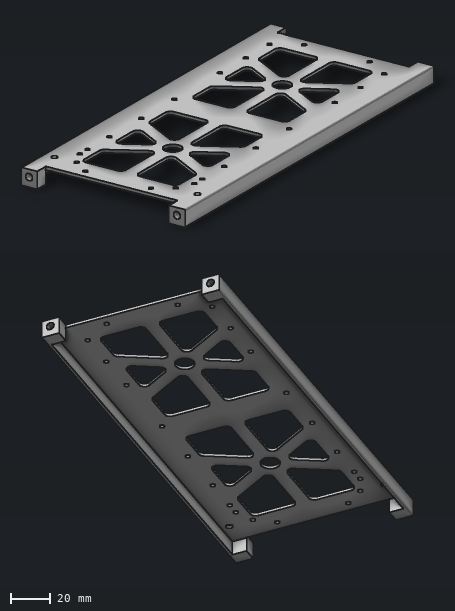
import cadquery as cq
import math

length = 227.0
width = 100.0
height = 10.0

plate_thickness = 2.0
wall_thickness = plate_thickness
outer_edge_radius = 0.5

block_width = 10.0
block_length = 8.0
block_x = (width - block_width) / 2
plate_length = length - 2 * block_length

block_hole_diameter = 4.0
block_hole_drop = 4.3
block_hole_depth = 6.0

under_hole_diameter = 3.5
under_hole_x = 43.5
under_hole_y = -92.6
under_hole_roof = 0.2

hub_offset = 50.0
hub_diameter = 10.0
spoke_width = 8.0
spoke_angle = math.radians(30)
opening_half_width = 29.0
opening_half_height = 40.0
opening_radius = 3.0

screw_diameter = 2.5
end_screw_x = 20.0
end_screw_y = 99.7
corner_screw_x = 30.2
corner_screw_y = -92.5
row_screw_x = 35.0
row_screw_y = [90.5, 69.0, 45.5, 3.9, -26.3, -55.5, -75.4, -82.5]


def top_block(size_x, size_y, size_z):
    """Block centred on the Z axis with its top face on Z = 0."""
    return cq.Workplane("XY").rect(size_x, size_y).extrude(-size_z)


def make_frame():
    """Plate, side walls and corner blocks, with the outer long edges rounded."""
    frame = top_block(width, plate_length, plate_thickness)
    wall = top_block(wall_thickness, length, height)
    block = top_block(block_width, block_length, height)
    wall_x = (width - wall_thickness) / 2
    block_y = (length - block_length) / 2
    for side in (-1, 1):
        frame = frame.union(wall.translate((side * wall_x, 0, 0)))
        for end in (-1, 1):
            frame = frame.union(block.translate((side * block_x, end * block_y, 0)))
    return frame.clean().faces("<X or >X").edges("|Y").fillet(outer_edge_radius)


def make_opening(points):
    """Cutter through the plate with rounded corners."""
    cutter = cq.Workplane("XY").polyline(points).close().extrude(-plate_thickness)
    return cutter.edges("|Z").fillet(opening_radius)


def spoke_edge_y(x, side):
    """Y of the upper (side = 1) or lower (side = -1) edge of the slanted spoke at x."""
    return x * math.tan(spoke_angle) + side * spoke_width / 2 / math.cos(spoke_angle)


def make_hub_cutter():
    """Hub hole, four corner openings and two side openings around the origin."""
    inner = spoke_width / 2
    outer = opening_half_width
    corner_opening = make_opening([
        (inner, opening_half_height),
        (outer, opening_half_height),
        (outer, spoke_edge_y(outer, 1)),
        (inner, spoke_edge_y(inner, 1)),
    ])
    side_opening = make_opening([
        (inner / math.sin(spoke_angle), 0),
        (outer, spoke_edge_y(outer, -1)),
        (outer, -spoke_edge_y(outer, -1)),
    ])
    right_half = corner_opening.union(corner_opening.mirror("XZ")).union(side_opening)
    hub_hole = cq.Workplane("XY").circle(hub_diameter / 2).extrude(-plate_thickness)
    return right_half.union(right_half.mirror("YZ")).union(hub_hole)


def make_screw_cutter():
    """All small screw holes, mirrored across the YZ plane."""
    right_points = [
        (end_screw_x, end_screw_y),
        (end_screw_x, -end_screw_y),
        (corner_screw_x, corner_screw_y),
    ]
    right_points += [(row_screw_x, y) for y in row_screw_y]
    left_points = [(-x, y) for x, y in right_points]
    screws = cq.Workplane("XY").pushPoints(right_points + left_points)
    return screws.circle(screw_diameter / 2).extrude(-plate_thickness)


def make_block_hole_cutter():
    """Holes along Y in the end faces of all four blocks."""
    centres = [(-block_x, -block_hole_drop), (block_x, -block_hole_drop)]
    front_plane = cq.Workplane("XZ", origin=(0, -length / 2, 0))
    front_holes = front_plane.pushPoints(centres).circle(block_hole_diameter / 2).extrude(-block_hole_depth)
    return front_holes.union(front_holes.mirror("XZ"))


def make_under_hole_cutter():
    """Blind holes in the underside of the plate near its -Y end."""
    centres = [(-under_hole_x, under_hole_y), (under_hole_x, under_hole_y)]
    underside = cq.Workplane("XY", origin=(0, 0, -plate_thickness))
    holes = underside.pushPoints(centres).circle(under_hole_diameter / 2)
    return holes.extrude(plate_thickness - under_hole_roof)


body = make_frame()
for hub_y in (-hub_offset, hub_offset):
    body = body.cut(make_hub_cutter().translate((0, hub_y, 0)))

body = body.cut(make_screw_cutter())
body = body.cut(make_block_hole_cutter())
result = body.cut(make_under_hole_cutter())